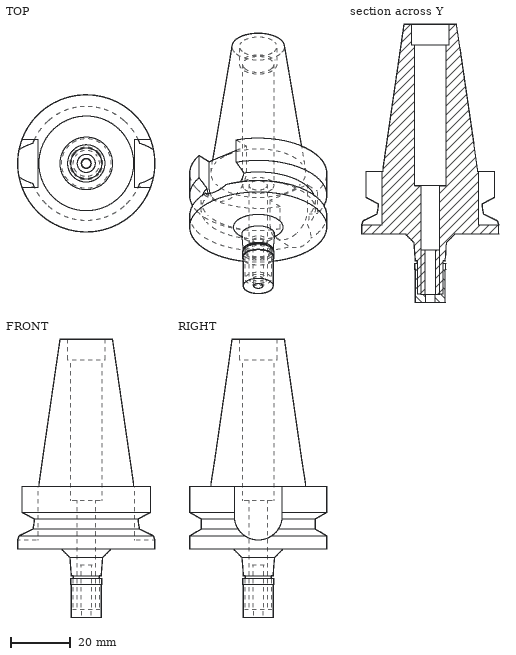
import cadquery as cq
import math


TOTAL_HEIGHT = 93.4
NUT_HEIGHT = 13.2
NECK_BOTTOM = 14.0
NECK_TOP = 20.2
FLANGE_BOTTOM = 23.0
FLANGE_TOP = 44.0
GAUGE_HEIGHT = 45.0

GAUGE_RADIUS = 15.9
TAPER_RATIO = 7 / 24
SMALL_END_RADIUS = GAUGE_RADIUS - (TOTAL_HEIGHT - GAUGE_HEIGHT) * TAPER_RATIO / 2

FLANGE_DIAMETER = 46.0
FLANGE_RADIUS = FLANGE_DIAMETER / 2
GROOVE_ROOT_RADIUS = 19.15
GROOVE_ROOT_BOTTOM = 29.7
GROOVE_ROOT_TOP = 33.1
GROOVE_FLANK_ANGLE = 30
GROOVE_FLANK_HEIGHT = (FLANGE_RADIUS - GROOVE_ROOT_RADIUS) * math.tan(math.radians(GROOVE_FLANK_ANGLE))
GROOVE_BOTTOM = GROOVE_ROOT_BOTTOM - GROOVE_FLANK_HEIGHT
GROOVE_TOP = GROOVE_ROOT_TOP + GROOVE_FLANK_HEIGHT

SLOT_WIDTH = 16.1
SLOT_BOTTOM = 26.1
SLOT_FLOOR_DISTANCE = 16.25
SLOT_ARC_HEIGHT = SLOT_BOTTOM + SLOT_WIDTH / 2

NECK_BASE_RADIUS = 8.3
NECK_TOP_RADIUS = 5.5
NECK_BOTTOM_RADIUS = 5.0
NOSE_RADIUS = 4.4

PILOT_RADIUS = 6.3
PILOT_DEPTH = 7.0
DRAW_BORE_RADIUS = 5.2
DRAW_BORE_DEPTH = 54.2
COLLET_DIAMETER = 6.1
COLLET_RADIUS = COLLET_DIAMETER / 2

NUT_RADIUS = 5.0
COLLAR_DIAMETER = 10.6
COLLAR_RADIUS = COLLAR_DIAMETER / 2
COLLAR_BOTTOM = 11.2
NUT_WALL = 2.8
NUT_MOUTH_DIAMETER = 3.1

COLLET_LENGTH = 14.9
COLLET_BORE_RADIUS = 1.7


def cylinder(radius, bottom, height):
    """Solid cylinder on the Z axis."""
    return cq.Workplane("XY").workplane(offset=bottom).circle(radius).extrude(height)


def revolve_about_axis(profile):
    """Solid of revolution about Z from (radius, height) points."""
    return cq.Workplane("XZ").polyline(profile).close().revolve(360, (0, 0), (0, 1))


def make_slot_cutter():
    """Round-bottomed drive slot on the +X side, open at the top and outward."""
    half_width = SLOT_WIDTH / 2
    return (
        cq.Workplane("YZ")
        .workplane(offset=SLOT_FLOOR_DISTANCE)
        .moveTo(-half_width, TOTAL_HEIGHT)
        .lineTo(-half_width, SLOT_ARC_HEIGHT)
        .threePointArc((0, SLOT_BOTTOM), (half_width, SLOT_ARC_HEIGHT))
        .lineTo(half_width, TOTAL_HEIGHT)
        .close()
        .extrude(FLANGE_RADIUS)
    )


def make_holder():
    """Taper shank, grooved flange, neck and nose, with the stepped bore through them."""
    body = revolve_about_axis([
        (0, NUT_WALL),
        (NOSE_RADIUS, NUT_WALL),
        (NOSE_RADIUS, NECK_BOTTOM),
        (NECK_BOTTOM_RADIUS, NECK_BOTTOM),
        (NECK_TOP_RADIUS, NECK_TOP),
        (NECK_BASE_RADIUS, FLANGE_BOTTOM),
        (FLANGE_RADIUS, FLANGE_BOTTOM),
        (FLANGE_RADIUS, GROOVE_BOTTOM),
        (GROOVE_ROOT_RADIUS, GROOVE_ROOT_BOTTOM),
        (GROOVE_ROOT_RADIUS, GROOVE_ROOT_TOP),
        (FLANGE_RADIUS, GROOVE_TOP),
        (FLANGE_RADIUS, FLANGE_TOP),
        (GAUGE_RADIUS, FLANGE_TOP),
        (GAUGE_RADIUS, GAUGE_HEIGHT),
        (SMALL_END_RADIUS, TOTAL_HEIGHT),
        (0, TOTAL_HEIGHT),
    ])
    slot_cutter = make_slot_cutter()
    for angle in (0, 180):
        body = body.cut(slot_cutter.rotate((0, 0, 0), (0, 0, 1), angle))

    body = body.cut(cylinder(PILOT_RADIUS, TOTAL_HEIGHT - PILOT_DEPTH, PILOT_DEPTH))
    body = body.cut(cylinder(DRAW_BORE_RADIUS, TOTAL_HEIGHT - DRAW_BORE_DEPTH, DRAW_BORE_DEPTH))
    return body.cut(cylinder(COLLET_RADIUS, 0, TOTAL_HEIGHT))


def make_nut():
    """Cap around the holder nose, with a collar at its open end and a mouth in its closed end."""
    cap = cylinder(NUT_RADIUS, 0, NUT_HEIGHT)
    cap = cap.union(cylinder(COLLAR_RADIUS, COLLAR_BOTTOM, NUT_HEIGHT - COLLAR_BOTTOM))
    cap = cap.cut(cylinder(NOSE_RADIUS, NUT_WALL, NUT_HEIGHT))
    return cap.cut(cylinder(NUT_MOUTH_DIAMETER / 2, 0, NUT_WALL))


def make_collet():
    """Sleeve in the holder bore, resting on the closed end of the nut."""
    sleeve = cylinder(COLLET_RADIUS, NUT_WALL, COLLET_LENGTH)
    return sleeve.cut(cylinder(COLLET_BORE_RADIUS, NUT_WALL, COLLET_LENGTH))


holder = make_holder()
nut = make_nut()
collet = make_collet()

result = cq.Compound.makeCompound([holder.val(), nut.val(), collet.val()])